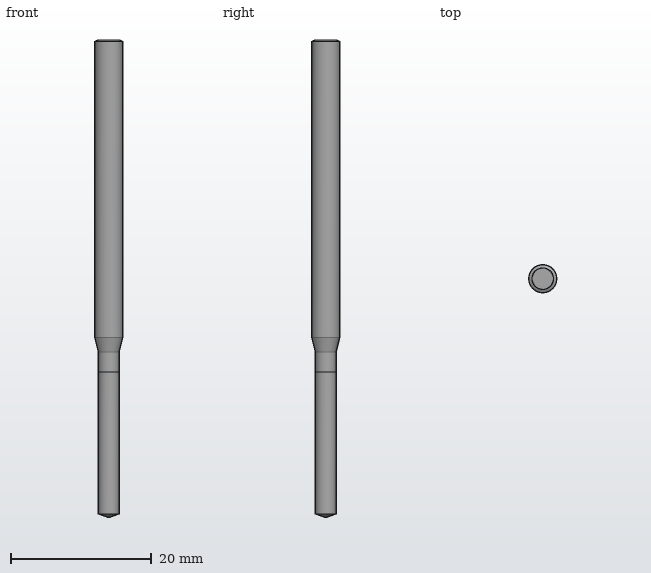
import cadquery as cq
import math

total_length = 68.0

shank_diameter = 4.0
top_chamfer_width = 0.5
top_chamfer_height = 0.3
shank_bottom_z = 25.65

taper_length = 2.05
neck_top_z = shank_bottom_z - taper_length

drill_diameter = 3.0
cutting_length = 20.75
point_angle = 140.0

shank_radius = shank_diameter / 2
drill_radius = drill_diameter / 2
point_height = drill_radius / math.tan(math.radians(point_angle / 2))


def revolve_profile(points):
    """Revolve a closed half profile of (radius, z) points about Z, seam on the -Y side."""
    outline = [(-radius, z) for radius, z in points]
    return cq.Workplane("YZ").polyline(outline).close().revolve(360, (0, 0, 0), (0, 1, 0))


def make_holder():
    """Chamfered shank, taper and neck, ending where the cutting part starts."""
    return revolve_profile([
        (0, cutting_length),
        (drill_radius, cutting_length),
        (drill_radius, neck_top_z),
        (shank_radius, shank_bottom_z),
        (shank_radius, total_length - top_chamfer_height),
        (shank_radius - top_chamfer_width, total_length),
        (0, total_length),
    ])


def make_cutting_part():
    """Cylindrical cutting part with a conical point."""
    return revolve_profile([
        (0, 0),
        (drill_radius, point_height),
        (drill_radius, cutting_length),
        (0, cutting_length),
    ])


holder = make_holder()
cutting_part = make_cutting_part()

result = cq.Compound.makeCompound([holder.val(), cutting_part.val()])